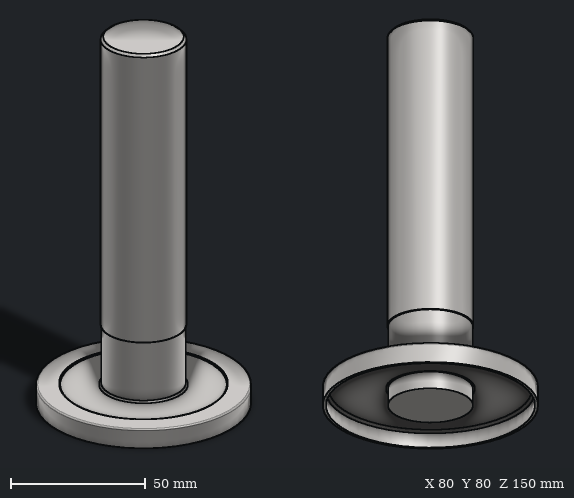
import cadquery as cq

TOTAL_HEIGHT = 150.0

COVER_DIAMETER = 80.0
COVER_HEIGHT = 8.0
COVER_WALL = 1.2
COVER_EDGE_RADIUS = 0.6
CAVITY_DIAMETER = COVER_DIAMETER - 2 * COVER_WALL
CAVITY_CHAMFER = 1.0
RECESS_DIAMETER = 62.7
RECESS_DEPTH = 0.5
RECESS_WALL_TAPER = 45

POST_DIAMETER = 31.5
FOOT_DIAMETER = 33.0
FOOT_FLARE = (FOOT_DIAMETER - POST_DIAMETER) / 2
SLEEVE_BOTTOM = 32.0

SLEEVE_DIAMETER = 32.0
SLEEVE_TOP_CHAMFER = 1.0
SLEEVE_BOTTOM_CHAMFER = (SLEEVE_DIAMETER - POST_DIAMETER) / 2


def cylinder(diameter, bottom, top):
    return cq.Workplane("XY").workplane(offset=bottom).circle(diameter / 2).extrude(top - bottom)


def make_cover():
    cover = cylinder(COVER_DIAMETER, 0, COVER_HEIGHT).faces(">Z").edges().fillet(COVER_EDGE_RADIUS)
    cavity = cylinder(CAVITY_DIAMETER, 0, COVER_HEIGHT - COVER_WALL)
    cavity = cavity.faces(">Z").edges().chamfer(CAVITY_CHAMFER)
    recess = (
        cq.Workplane("XY")
        .workplane(offset=COVER_HEIGHT)
        .circle(RECESS_DIAMETER / 2)
        .extrude(-RECESS_DEPTH, taper=RECESS_WALL_TAPER)
    )
    hole = cylinder(FOOT_DIAMETER, 0, COVER_HEIGHT)
    return cover.cut(cavity).cut(recess).cut(hole)


def make_post():
    bar = cylinder(POST_DIAMETER, 0, SLEEVE_BOTTOM)
    recess_floor = COVER_HEIGHT - RECESS_DEPTH
    foot = cylinder(FOOT_DIAMETER, COVER_HEIGHT - COVER_WALL, recess_floor + FOOT_FLARE)
    foot = foot.faces(">Z").edges().chamfer(FOOT_FLARE)
    return bar.union(foot)


def make_sleeve():
    sleeve = cylinder(SLEEVE_DIAMETER, SLEEVE_BOTTOM, TOTAL_HEIGHT)
    sleeve = sleeve.faces(">Z").edges().chamfer(SLEEVE_TOP_CHAMFER)
    return sleeve.faces("<Z").edges().chamfer(SLEEVE_BOTTOM_CHAMFER)


cover = make_cover()
post = make_post()
sleeve = make_sleeve()

result = cq.Compound.makeCompound([cover.val(), post.val(), sleeve.val()])